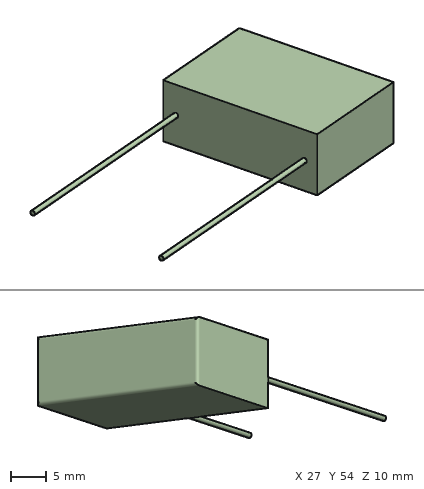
import cadquery as cq


overall_length = 54.0

case_width = 27.0
case_length = 19.0
case_height = 10.0
back_edge_radius = 0.5

lead_diameter = 0.8
lead_spacing = 22.5
lead_length = overall_length - case_length


def make_case():
    """Box centred on X and Z, with the edges of its back face rounded."""
    box = cq.Workplane("XY").box(case_width, case_length, case_height, centered=(True, False, True))
    return box.faces(">Y").edges().fillet(back_edge_radius)


def make_lead(x):
    """Round wire standing on the lead face at the given X, at mid-height."""
    return cq.Workplane("XZ").center(x, 0).circle(lead_diameter / 2).extrude(lead_length)


case = make_case()

leads = []
for side in (-1, 1):
    leads.append(make_lead(side * lead_spacing / 2))

result = cq.Compound.makeCompound([case.val(), *[lead.val() for lead in leads]])